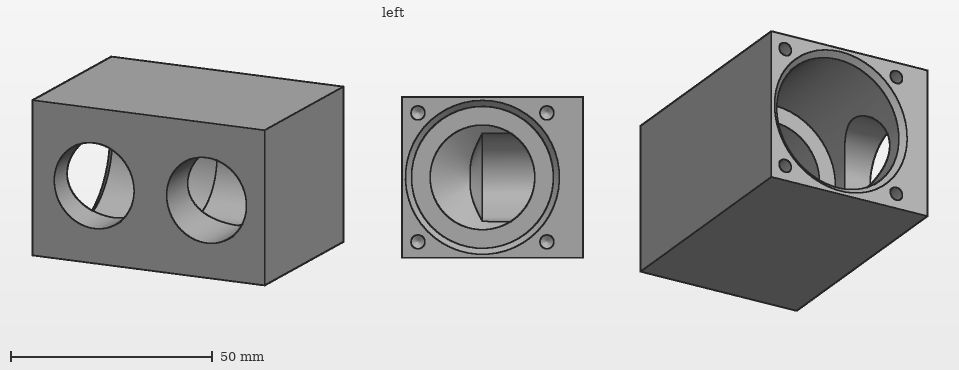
import cadquery as cq
import math

length = 64.0
width = 45.0
height = 40.0
axis_to_back = height / 2
front_y = axis_to_back - width

bore_diameter = 35.2
bore_depth = 32.5
mouth_diameter = 38.2
mouth_depth = 1.5
inner_diameter = 26.0
inner_depth = 48.0

port_diameter = 22.0
near_port_x = 17.0

screw_diameter = 3.45
screw_depth = 10.0
screw_spacing = 32.0

drill_half_angle = math.radians(59)


def drill(start, direction, diameter, depth):
    """Drilled hole: full diameter to the given depth, then a conical tip."""
    radius = diameter / 2
    tip = radius / math.tan(drill_half_angle)
    axis = cq.Vector(*direction)
    origin = cq.Vector(*start)
    shaft = cq.Solid.makeCylinder(radius, depth, origin, axis)
    cone = cq.Solid.makeCone(radius, 0, tip, origin + axis * depth, axis)
    return cq.Workplane(obj=shaft).union(cq.Workplane(obj=cone))


block = cq.Workplane("XY").box(length, width, height, centered=(False, False, True))
result = block.translate((0, front_y, 0))

into_x = (1, 0, 0)
bore = cq.Workplane("YZ").circle(bore_diameter / 2).extrude(bore_depth)
mouth = cq.Solid.makeCone(
    mouth_diameter / 2, bore_diameter / 2, mouth_depth, cq.Vector(0, 0, 0), cq.Vector(*into_x)
)
result = result.cut(bore).cut(cq.Workplane(obj=mouth))

result = result.cut(drill((0, 0, 0), into_x, inner_diameter, inner_depth))

for port_x in (near_port_x, inner_depth):
    result = result.cut(drill((port_x, front_y, 0), (0, 1, 0), port_diameter, -front_y))

for y in (-screw_spacing / 2, screw_spacing / 2):
    for z in (-screw_spacing / 2, screw_spacing / 2):
        result = result.cut(drill((0, y, z), into_x, screw_diameter, screw_depth))